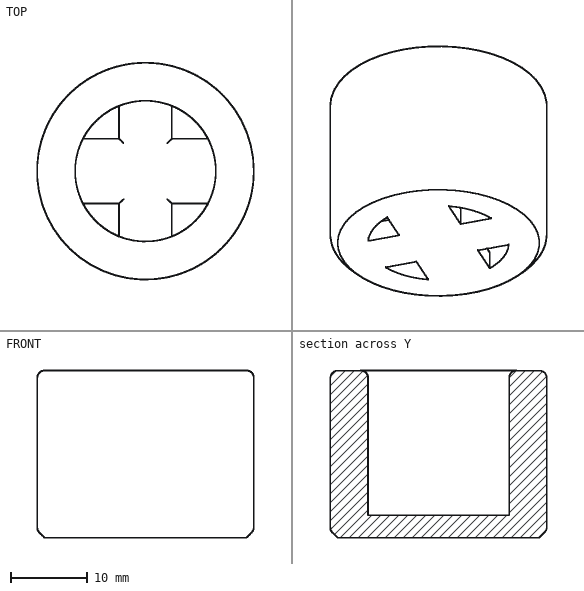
import cadquery as cq

outer_diameter = 28.5
height = 22.0
bore_diameter = 18.5
rim_radius = 1.0

bottom_chamfer = 1.0
chamfer_blend_radius = 1.0

cross_thickness = 3.0
x_arm_width = 8.55
y_arm_width = 6.95
cross_edge_radius = 0.7


def make_sleeve():
    """Tube with a rounded top rim and a blended chamfer at the bottom."""
    body = cq.Workplane("XY").circle(outer_diameter / 2).extrude(height)
    body = body.faces("<Z").edges().chamfer(bottom_chamfer)
    chamfer_top = cq.selectors.BoxSelector(
        (-outer_diameter, -outer_diameter, bottom_chamfer / 2),
        (outer_diameter, outer_diameter, height / 2),
        boundingbox=True,
    )
    body = body.edges(chamfer_top).edges("%CIRCLE").fillet(chamfer_blend_radius)
    body = body.cut(cq.Workplane("XY").circle(bore_diameter / 2).extrude(height))
    return body.faces(">Z").edges().fillet(rim_radius)


def make_cross():
    """Cross with rounded top edges, trimmed to end inside the sleeve wall."""
    wall_middle_diameter = (outer_diameter + bore_diameter) / 2
    x_arm = cq.Workplane("XY").rect(outer_diameter, x_arm_width)
    y_arm = cq.Workplane("XY").rect(y_arm_width, outer_diameter)
    cross = x_arm.extrude(cross_thickness).union(y_arm.extrude(cross_thickness))
    cross = cross.faces(">Z").edges().fillet(cross_edge_radius)
    trim = cq.Workplane("XY").circle(wall_middle_diameter / 2).extrude(cross_thickness)
    return cross.intersect(trim)


result = make_sleeve().union(make_cross())